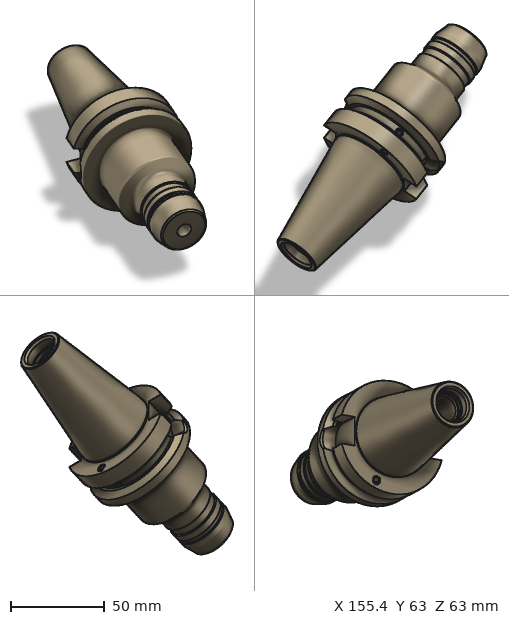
import cadquery as cq
import math

TOTAL_LENGTH = 155.4
TAPER_LENGTH = 65.3
RELIEF_START = 66.2
FLANGE_START = 67.1
FLANGE_END = 92.3
GROOVE_START = 79.4
GROOVE_END = 84.4
BODY_SHOULDER = 119.0
NOSE_TAPER_START = 147.0

FLANGE_DIAMETER = 63.0
GAUGE_RADIUS = 22.2
RELIEF_RADIUS = 22.0
FLANGE_RADIUS = FLANGE_DIAMETER / 2
GROOVE_RADIUS = 25.5
GROOVE_SHOULDER_RADIUS = 27.4
NOSE_RADIUS = 15.2

TAPER_RATIO = 7 / 24
STEEP_ANGLE = 60.0
NOSE_TAPER_ANGLE = 15.0
TAPER_END_CHAMFER = 0.5
NOSE_END_CHAMFER = 0.8
FLANGE_EDGE_FILLET = 0.5
FLANGE_ROOT_FILLET = 1.0
SHOULDER_EDGE_FILLET = 1.9
SHOULDER_ROOT_FILLET = 3.5

NOSE_GROOVES = [(131.6, 136.8), (140.8, 143.6)]
NOSE_GROOVE_DEPTH = 0.8
NOSE_GROOVE_FLANK = 0.5

SLOT_HALF_WIDTH = 8.1
SLOT_FLOOR_RADIUS = 22.5
SLOT_TIP = 88.3
SLOT_CHAMFER_START = 30.3

MOUTH_RADIUS = 10.1
MOUTH_LENGTH = 1.5
ENTRY_RADIUS = 9.2
ENTRY_DEPTH = 6.2
GUIDE_RADIUS = 8.7
GUIDE_DEPTH = 8.9
THREAD_RADIUS = 7.1
THREAD_CHAMFER = 1.0
THREAD_DEPTH = 31.1
THROUGH_RADIUS = 4.0
DRILL_POINT_ANGLE = 60.0

COOLANT_ANGLE = 20.0
COOLANT_MOUTH_RADIUS = 26.9
COOLANT_SLANT = 35.0
COOLANT_DIAMETER = 4.2
COOLANT_SEAT_DEPTH = 1.2
COOLANT_DRILL_DIAMETER = 2.8


def revolve_about_x(outline):
    return outline.close().revolve(360, (0, 0, 0), (1, 0, 0))


def circle_edge(x, radius):
    """Selector box around a circular edge of the turned body."""
    tol = 0.08
    return cq.selectors.BoxSelector(
        (x - tol, -radius - tol, -radius - tol), (x + tol, radius + tol, radius + tol), boundingbox=True
    )


def turned_body():
    steep = math.tan(math.radians(STEEP_ANGLE))
    taper_start_radius = GAUGE_RADIUS - TAPER_LENGTH * TAPER_RATIO / 2
    groove_flank = (FLANGE_RADIUS - GROOVE_SHOULDER_RADIUS) / steep
    shoulder_length = (GAUGE_RADIUS - NOSE_RADIUS) / steep
    nose_drop = (TOTAL_LENGTH - NOSE_TAPER_START) * math.tan(math.radians(NOSE_TAPER_ANGLE))
    nose_root = BODY_SHOULDER + shoulder_length
    groove_bottom = NOSE_RADIUS - NOSE_GROOVE_DEPTH

    outline = (
        cq.Workplane("XY")
        .moveTo(0, 0)
        .lineTo(0, taper_start_radius)
        .lineTo(TAPER_LENGTH, GAUGE_RADIUS)
        .lineTo(RELIEF_START, GAUGE_RADIUS)
        .lineTo(RELIEF_START, RELIEF_RADIUS)
        .lineTo(FLANGE_START, RELIEF_RADIUS)
        .lineTo(FLANGE_START, FLANGE_RADIUS)
        .lineTo(GROOVE_START - groove_flank, FLANGE_RADIUS)
        .lineTo(GROOVE_START, GROOVE_SHOULDER_RADIUS)
        .lineTo(GROOVE_START, GROOVE_RADIUS)
        .lineTo(GROOVE_END, GROOVE_RADIUS)
        .lineTo(GROOVE_END, GROOVE_SHOULDER_RADIUS)
        .lineTo(GROOVE_END + groove_flank, FLANGE_RADIUS)
        .lineTo(FLANGE_END, FLANGE_RADIUS)
        .lineTo(FLANGE_END, GAUGE_RADIUS)
        .lineTo(BODY_SHOULDER, GAUGE_RADIUS)
        .lineTo(nose_root, NOSE_RADIUS)
    )
    for start, end in NOSE_GROOVES:
        outline = (
            outline.lineTo(start, NOSE_RADIUS)
            .lineTo(start + NOSE_GROOVE_FLANK, groove_bottom)
            .lineTo(end - NOSE_GROOVE_FLANK, groove_bottom)
            .lineTo(end, NOSE_RADIUS)
        )
    outline = (
        outline.lineTo(NOSE_TAPER_START, NOSE_RADIUS)
        .lineTo(TOTAL_LENGTH, NOSE_RADIUS - nose_drop)
        .lineTo(TOTAL_LENGTH, 0)
    )
    body = revolve_about_x(outline)
    body = body.edges(circle_edge(nose_root, NOSE_RADIUS)).fillet(SHOULDER_ROOT_FILLET)
    body = body.edges(circle_edge(BODY_SHOULDER, GAUGE_RADIUS)).fillet(SHOULDER_EDGE_FILLET)
    body = body.edges(circle_edge(FLANGE_END, GAUGE_RADIUS)).fillet(FLANGE_ROOT_FILLET)
    body = body.edges(circle_edge(FLANGE_END, FLANGE_RADIUS) - circle_edge(FLANGE_END, GAUGE_RADIUS)).fillet(
        FLANGE_EDGE_FILLET
    )
    body = body.faces("<X").edges().chamfer(TAPER_END_CHAMFER)
    return body.faces(">X").edges().chamfer(NOSE_END_CHAMFER)


def drive_slot():
    """Round-ended slot on the -Y side, its rounded end flared at 45 degrees near the rim."""
    depth = FLANGE_RADIUS - SLOT_FLOOR_RADIUS
    end_center = SLOT_TIP - SLOT_HALF_WIDTH
    floor = cq.Workplane("XZ", origin=(0, -SLOT_FLOOR_RADIUS, 0))
    straight = (
        floor.moveTo(FLANGE_START, -SLOT_HALF_WIDTH)
        .lineTo(end_center, -SLOT_HALF_WIDTH)
        .lineTo(end_center, SLOT_HALF_WIDTH)
        .lineTo(FLANGE_START, SLOT_HALF_WIDTH)
        .close()
        .extrude(depth)
    )
    rounded = floor.center(end_center, 0).circle(SLOT_HALF_WIDTH).extrude(depth)
    flare_height = FLANGE_RADIUS - SLOT_CHAMFER_START
    flare = cq.Solid.makeCone(
        SLOT_HALF_WIDTH,
        SLOT_HALF_WIDTH + flare_height,
        flare_height,
        cq.Vector(end_center, -SLOT_CHAMFER_START, 0),
        cq.Vector(0, -1, 0),
    )
    return straight.union(rounded).union(cq.Workplane(flare))


def bore():
    """Stepped bore with a countersunk mouth and a conical drill point."""
    point_length = (THREAD_RADIUS - THROUGH_RADIUS) / math.tan(math.radians(DRILL_POINT_ANGLE))
    entry_step = ENTRY_RADIUS - GUIDE_RADIUS
    return revolve_about_x(
        cq.Workplane("XY")
        .moveTo(0, 0)
        .lineTo(0, MOUTH_RADIUS)
        .lineTo(MOUTH_LENGTH, ENTRY_RADIUS)
        .lineTo(ENTRY_DEPTH, ENTRY_RADIUS)
        .lineTo(ENTRY_DEPTH + entry_step, GUIDE_RADIUS)
        .lineTo(GUIDE_DEPTH, GUIDE_RADIUS)
        .lineTo(GUIDE_DEPTH, THREAD_RADIUS + THREAD_CHAMFER)
        .lineTo(GUIDE_DEPTH + THREAD_CHAMFER, THREAD_RADIUS)
        .lineTo(THREAD_DEPTH, THREAD_RADIUS)
        .lineTo(THREAD_DEPTH + point_length, THROUGH_RADIUS)
        .lineTo(TOTAL_LENGTH, THROUGH_RADIUS)
        .lineTo(TOTAL_LENGTH, 0)
    )


def hole(start, direction, diameter, depth):
    return cq.Workplane(cq.Solid.makeCylinder(diameter / 2, depth, start, direction))


def coolant_passage():
    """Passage on the +Z side, ending where the two drillings meet below the groove."""
    slant = math.radians(COOLANT_SLANT)
    inward = cq.Vector(math.cos(slant), 0, -math.sin(slant))
    mouth = cq.Vector(FLANGE_START, 0, COOLANT_MOUTH_RADIUS)
    groove_middle = (GROOVE_START + GROOVE_END) / 2
    meeting_depth = (groove_middle - FLANGE_START) / math.cos(slant)
    meeting = mouth + inward * meeting_depth
    lead = COOLANT_DIAMETER
    passage = hole(mouth - inward * lead, inward, COOLANT_DIAMETER, lead + COOLANT_SEAT_DEPTH)
    passage = passage.union(hole(mouth, inward, COOLANT_DRILL_DIAMETER, meeting_depth))

    outward = cq.Vector(0, 0, 1)
    radial_depth = GROOVE_RADIUS - meeting.z
    seat_floor = meeting + outward * (radial_depth - COOLANT_SEAT_DEPTH)
    passage = passage.union(hole(meeting, outward, COOLANT_DRILL_DIAMETER, radial_depth))
    passage = passage.union(hole(seat_floor, outward, COOLANT_DIAMETER, 2 * COOLANT_SEAT_DEPTH))
    return passage.rotate((0, 0, 0), (1, 0, 0), COOLANT_ANGLE)


result = turned_body().cut(bore())
slot = drive_slot()
coolant = coolant_passage()
for turn in (0, 180):
    result = result.cut(slot.rotate((0, 0, 0), (1, 0, 0), turn))
    result = result.cut(coolant.rotate((0, 0, 0), (1, 0, 0), turn))